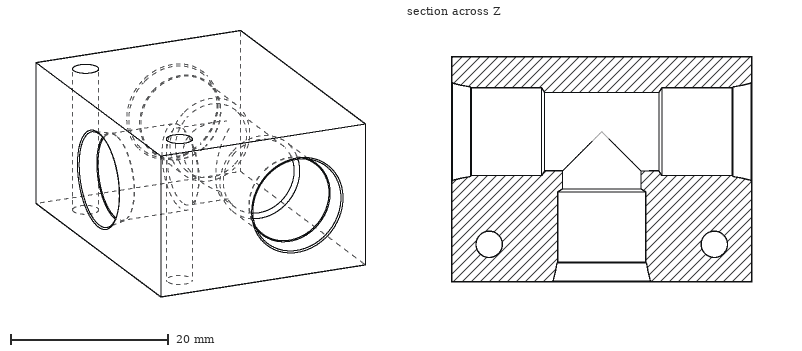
import cadquery as cq
import math

length = 38.1
width = 28.58
height = 19.05

mouth_diameter = 12.75
seat_diameter = 12.3
seat_end_diameter = 11.35
thread_diameter = 11.13
bore_diameter = 9.9
mouth_half_angle = 59.0
seat_half_angle = 12.0
thread_chamfer_half_angle = 45.0
thread_depth = 11.43
bottom_half_angle = 59.0

mount_hole_diameter = 3.3
mount_hole_inset = 4.75

tee_x = length / 2
tee_y = width - height / 2
tee_z = height / 2


def cone_depth(large_diameter, small_diameter, half_angle):
    """Axial length of a cone between two diameters."""
    return (large_diameter - small_diameter) / 2 / math.tan(math.radians(half_angle))


def port(mouth, direction, bore_depth):
    """Port cavity that starts at its mouth and runs into the block along a direction."""
    mouth_end = cone_depth(mouth_diameter, seat_diameter, mouth_half_angle)
    seat_end = mouth_end + cone_depth(seat_diameter, seat_end_diameter, seat_half_angle)
    thread_start = seat_end + cone_depth(seat_end_diameter, thread_diameter, thread_chamfer_half_angle)
    bottom_end = thread_depth + cone_depth(thread_diameter, bore_diameter, bottom_half_angle)
    half_profile = [
        (0, 0),
        (mouth_diameter / 2, 0),
        (seat_diameter / 2, mouth_end),
        (seat_end_diameter / 2, seat_end),
        (thread_diameter / 2, thread_start),
        (thread_diameter / 2, thread_depth),
        (bore_diameter / 2, bottom_end),
        (bore_diameter / 2, bore_depth),
        (0, bore_depth),
    ]
    up = cq.Vector(0, 0, 1)
    plane = cq.Plane(origin=mouth, xDir=up, normal=up.cross(cq.Vector(*direction)))
    return cq.Workplane(plane).polyline(half_profile).close().revolve(360, (0, 0), (0, 1))


block = cq.Workplane("XY").box(length, width, height, centered=False)

left_port = port((0, tee_y, tee_z), (1, 0, 0), tee_x)
right_port = port((length, tee_y, tee_z), (-1, 0, 0), tee_x)
front_port = port((tee_x, 0, tee_z), (0, 1, 0), tee_y)

mount_holes = (
    cq.Workplane("XY")
    .pushPoints([(mount_hole_inset, mount_hole_inset), (length - mount_hole_inset, mount_hole_inset)])
    .circle(mount_hole_diameter / 2)
    .extrude(height)
)

result = block.cut(left_port).cut(right_port).cut(front_port).cut(mount_holes)